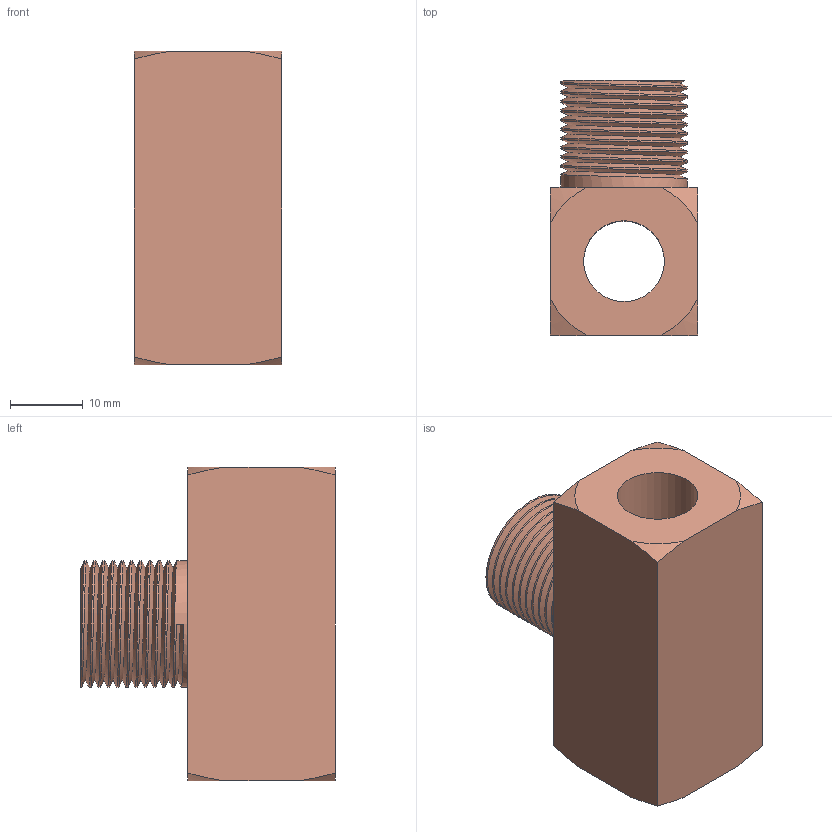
import cadquery as cq
import math

body_width = 20.32
body_height = 43.18
bore_diameter = 11.11

chamfer_flat_radius = 11.4
chamfer_angle = 20.0
blank_clearance = 1.0

overall_depth = 35.05
thread_diameter = 17.46
thread_pitch = 1.27
thread_depth = 1.1
crest_width = 0.26
thread_runout = 1.05
groove_overshoot = 0.05

half_width = body_width / 2
half_height = body_height / 2
stud_length = overall_depth - body_width
thread_radius = thread_diameter / 2


def make_body():
    """Square bar with both ends turned down to a shallow cone at the corners."""
    bar = cq.Workplane("XY").box(body_width, body_width, body_height)
    corner_radius = half_width * math.sqrt(2)
    blank_radius = corner_radius + blank_clearance
    drop = (blank_radius - chamfer_flat_radius) * math.tan(math.radians(chamfer_angle))
    turned_blank = (
        cq.Workplane("XZ")
        .moveTo(0, -half_height)
        .lineTo(chamfer_flat_radius, -half_height)
        .lineTo(blank_radius, -half_height + drop)
        .lineTo(blank_radius, half_height - drop)
        .lineTo(chamfer_flat_radius, half_height)
        .lineTo(0, half_height)
        .close()
        .revolve(360, (0, 0, 0), (0, 1, 0))
    )
    return bar.intersect(turned_blank)


def make_thread_groove():
    """Left-hand V groove around local Z, starting on local +X."""
    root_radius = thread_radius - thread_depth
    cutter_radius = thread_radius + groove_overshoot
    flank_slope = (thread_pitch - crest_width) / 2 / thread_depth
    half_opening = (thread_depth + groove_overshoot) * flank_slope
    helix_height = stud_length - thread_runout + thread_pitch

    def helix(radius, offset):
        start = cq.Vector(0, 0, thread_runout + offset)
        return cq.Wire.makeHelix(thread_pitch, helix_height, radius, center=start, lefthand=True)

    root = helix(root_radius, 0)
    upper_edge = helix(cutter_radius, half_opening)
    lower_edge = helix(cutter_radius, -half_opening)
    edges = [root, upper_edge, lower_edge]

    upper_flank = cq.Face.makeRuledSurface(root, upper_edge)
    outer_face = cq.Face.makeRuledSurface(upper_edge, lower_edge)
    lower_flank = cq.Face.makeRuledSurface(lower_edge, root)
    start_outline = cq.Wire.makePolygon([edge.startPoint() for edge in edges], close=True)
    end_outline = cq.Wire.makePolygon([edge.endPoint() for edge in edges], close=True)
    caps = [cq.Face.makeFromWires(outline) for outline in (start_outline, end_outline)]
    shell = cq.Shell.makeShell([upper_flank, outer_face, lower_flank, *caps])
    return cq.Solid.makeSolid(shell)


def make_stud():
    """Externally threaded stud along +Y; its groove starts on the -X side."""
    stud = cq.Workplane("XY").circle(thread_radius).extrude(stud_length)
    threaded = stud.val().cut(make_thread_groove())
    stud_plane = cq.Plane(origin=(0, half_width, 0), xDir=(-1, 0, 0), normal=(0, 1, 0))
    return cq.Workplane(obj=threaded.moved(cq.Location(stud_plane)))


def make_bore():
    """Straight bore through the full height of the body."""
    return cq.Workplane("XY").circle(bore_diameter / 2).extrude(half_height, both=True)


result = make_body().union(make_stud()).cut(make_bore())